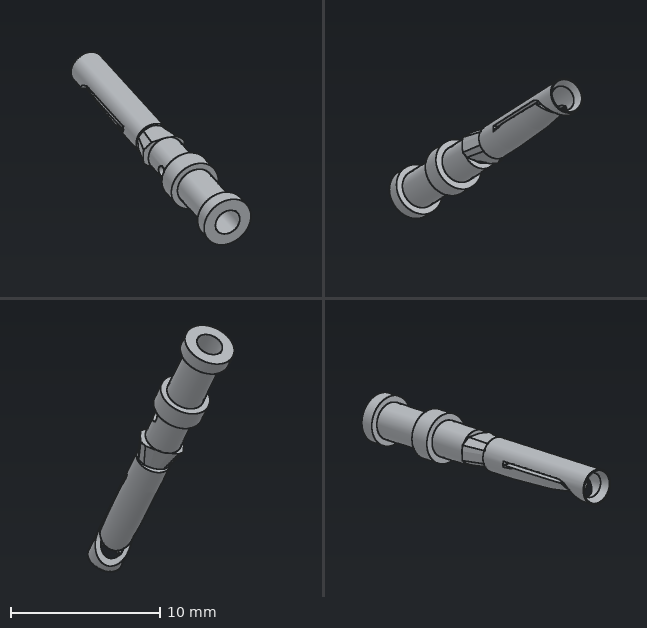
import cadquery as cq
import math

TOTAL_LENGTH = 21.5
FLANGE_DIA = 3.5

TUBE_DIA = 2.45
TUBE_END = 10.0
BORE_DIA = 1.7
BORE_DEPTH = 9.0
BORE_TIP_ANGLE = 118.0
MOUTH_DIA = 2.28
MOUTH_LAND_DIA = 2.06
MOUTH_CHAMFER = 0.2
MOUTH_TAPER_END = 0.55

SLOT_START = 0.55
SLOT_END = 8.0
SLOT_TOP = 0.24
SLOT_CORNER_RADIUS = 1.5
TONGUE_TOP = -0.02
TONGUE_TOP_START = 2.28
TONGUE_BORE_DIA = 1.15
BEND_X = 4.25
BEND_RISE = 0.15
TIP_X = 1.65
TIP_RISE = 0.5

FLARE_END = 11.74
NECK_DIA = 1.8

BARREL_START = 12.0
BARREL_DIA = 2.55
COLLAR_START = 15.0
COLLAR_END = 16.5
CRIMP_DIA = 2.6
END_FLANGE_START = 20.5
WIRE_BORE_DIA = 1.8
WIRE_BORE_START = 13.0
INSPECTION_X = 14.0
INSPECTION_DIA = 0.9

FLARE_SMALL_HALF = [
    (0.28, 1.05), (0.69, 0.88), (1.05, 0.5), (1.1, 0.22), (1.05, -0.43), (0.69, -0.77), (0.28, -0.88)
]
FLARE_LARGE_HALF = [
    (0.54, 1.05), (0.92, 1.03), (1.5, 0.58), (1.55, 0.17), (1.5, -0.5), (1.18, -0.8), (0.54, -0.92)
]
FLARE_RIDGE_Z = 1.1


def cylinder(start, end, diameter):
    return cq.Workplane("YZ", origin=(start, 0, 0)).circle(diameter / 2).extrude(end - start)


def side_extrusion(profile):
    """Extrude an XZ profile right across the part."""
    return profile.extrude(FLANGE_DIA, both=True)


def socket_bore():
    """Bore with a conical bottom, a tapered lead-in and a chamfered mouth."""
    radius = BORE_DIA / 2
    tip_length = radius / math.tan(math.radians(BORE_TIP_ANGLE / 2))
    return (
        cq.Workplane("XZ")
        .moveTo(0, 0)
        .lineTo(0, MOUTH_DIA / 2)
        .lineTo(MOUTH_CHAMFER, MOUTH_LAND_DIA / 2)
        .lineTo(MOUTH_TAPER_END, radius)
        .lineTo(BORE_DEPTH, radius)
        .lineTo(BORE_DEPTH + tip_length, 0)
        .close()
        .revolve(360, (0, 0, 0), (1, 0, 0))
    )


def tongue_window():
    """Region removed from the lower tube, with a rounded 45 degree front."""
    bottom = -TUBE_DIA / 2
    corner_x = SLOT_START + SLOT_TOP - bottom
    tangent = SLOT_CORNER_RADIUS * math.tan(math.radians(22.5))
    diagonal = tangent * math.sqrt(0.5)
    arc_end_x = corner_x + tangent
    arc_center_z = SLOT_TOP - SLOT_CORNER_RADIUS
    arc_mid = (
        arc_end_x - SLOT_CORNER_RADIUS * math.sin(math.radians(22.5)),
        arc_center_z + SLOT_CORNER_RADIUS * math.cos(math.radians(22.5)),
    )
    return side_extrusion(
        cq.Workplane("XZ")
        .moveTo(SLOT_START, bottom)
        .lineTo(corner_x - diagonal, SLOT_TOP - diagonal)
        .threePointArc(arc_mid, (arc_end_x, SLOT_TOP))
        .lineTo(SLOT_END, SLOT_TOP)
        .lineTo(SLOT_END, bottom)
        .close()
    )


def raised_cylinder(start, start_rise, end, end_rise):
    """Tube-sized envelope whose axis climbs by the given rises, run on past both ends."""
    slope = math.atan2(start_rise - end_rise, end - start)
    direction = cq.Vector(math.cos(slope), 0, -math.sin(slope))
    overrun = SLOT_END
    length = (end - start) / math.cos(slope) + 2 * overrun
    base = cq.Vector(start, 0, start_rise) - direction * overrun
    return cq.Workplane(obj=cq.Solid.makeCylinder(TUBE_DIA / 2, length, base, direction))


def tongue():
    """Lower half shell, bent inward in two steps and cut at 45 degrees in front."""
    depth = TUBE_DIA / 2 + TONGUE_TOP
    blank = side_extrusion(
        cq.Workplane("XZ")
        .moveTo(TONGUE_TOP_START, TONGUE_TOP)
        .lineTo(BORE_DEPTH, TONGUE_TOP)
        .lineTo(BORE_DEPTH, TONGUE_TOP - depth)
        .lineTo(TONGUE_TOP_START - depth, TONGUE_TOP - depth)
        .close()
    )
    return (
        cylinder(0, SLOT_END, TUBE_DIA)
        .intersect(blank)
        .intersect(raised_cylinder(BEND_X, BEND_RISE, SLOT_END, 0))
        .intersect(raised_cylinder(TIP_X, TIP_RISE, BEND_X, BEND_RISE))
        .cut(cylinder(0, SLOT_END, TONGUE_BORE_DIA))
    )


def full_outline(half):
    ridge = [(0, FLARE_RIDGE_Z)]
    return ridge + half + [(-y, z) for y, z in reversed(half)]


def flare():
    """Faceted retainer that widens in Y toward the barrel."""
    return (
        cq.Workplane("YZ", origin=(TUBE_END, 0, 0))
        .polyline(full_outline(FLARE_SMALL_HALF))
        .close()
        .workplane(offset=FLARE_END - TUBE_END)
        .polyline(full_outline(FLARE_LARGE_HALF))
        .close()
        .loft(ruled=True)
    )


def socket():
    tube = cylinder(0, TUBE_END, TUBE_DIA)
    return tube.cut(socket_bore()).cut(tongue_window()).union(tongue())


def crimp_barrel():
    barrel = (
        cylinder(BARREL_START, COLLAR_START, BARREL_DIA)
        .union(cylinder(COLLAR_START, COLLAR_END, FLANGE_DIA))
        .union(cylinder(COLLAR_END, END_FLANGE_START, CRIMP_DIA))
        .union(cylinder(END_FLANGE_START, TOTAL_LENGTH, FLANGE_DIA))
    )
    wire_bore = cylinder(WIRE_BORE_START, TOTAL_LENGTH, WIRE_BORE_DIA)
    inspection_hole = (
        cq.Workplane("XZ").center(INSPECTION_X, 0).circle(INSPECTION_DIA / 2).extrude(BARREL_DIA)
    )
    return barrel.cut(wire_bore).cut(inspection_hole)


neck = cylinder(TUBE_END, BARREL_START, NECK_DIA)
result = socket().union(flare()).union(neck).union(crimp_barrel())